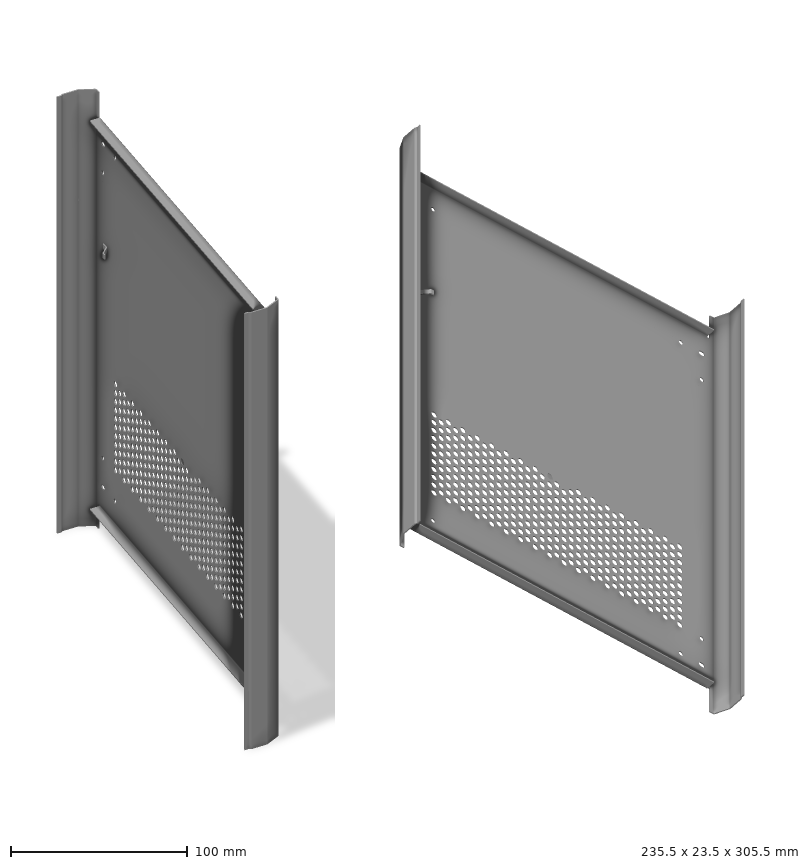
import cadquery as cq
import math

width = 235.5
depth = 23.5
height = 305.5
sheet = 0.75
inner_bend = 0.5
outer_bend = inner_bend + sheet
back_y = depth / 2
front_y = back_y - sheet
through = 4 * sheet

panel_half_width = 113.3
slope_angle = math.radians(25)
slope_depth = (width / 2 - panel_half_width) / math.tan(slope_angle)
lip_step = 0.75
lip_start_y = -8.0
lip_end_y = -9.5

rim_height = 272.5
rim_width = 216.0
rim_depth = 7.0
stub_half_width = 110.0
relief_bottom_z = rim_height / 2 - outer_bend

vent_columns = 35
vent_rows = 11
vent_width = 176.8
vent_height = 60.2
vent_top_z = -38.0
vent_diameter = 4.0
vent_column_pitch = vent_width / (vent_columns - 1)
vent_row_pitch = vent_height / (vent_rows - 1)
blank_column = 18
blind_column = 16

hole_diameter = 3.0
slot_length = 4.3
outer_hole_x = 104.0
inner_hole_x = 89.2
upper_hole_z = 120.0
lower_hole_z = 100.0

hook_left_x = -102.5
hook_length = 10.0
hook_foot = 4.0
hook_rise = 4.3
hook_bottom_z = 48.5
hook_height = 3.0
hook_inner_bend = 0.3


def offset_path(path, distance):
    """Shift an open path to its left by a distance, with mitred corners."""
    directions = [math.atan2(b[1] - a[1], b[0] - a[0]) for a, b in zip(path, path[1:])]
    shifted = []
    for index, (x, y) in enumerate(path):
        before = directions[max(index - 1, 0)]
        after = directions[min(index, len(directions) - 1)]
        normal = (before + after) / 2 + math.pi / 2
        reach = distance / math.cos((after - before) / 2)
        shifted.append((x + reach * math.cos(normal), y + reach * math.sin(normal)))
    return shifted


def strip(path, inner, length):
    """Sheet between two XY paths, extruded along +Z."""
    return cq.Workplane("XY").polyline(path + inner[::-1]).close().extrude(length)


def round_bend(body, corner, inner_corner, bend):
    """Round the outer and inner edges along Z of one bend."""
    for (x, y), radius in ((corner, bend + sheet), (inner_corner, bend)):
        nearest = cq.selectors.NearestToPointSelector((x, y, body.val().Center().z))
        body = body.edges("|Z").edges(nearest).fillet(radius)
    return body


def side_profile():
    """Outer path of the left flange, from the tip of the lip back to the panel."""
    outer_x = -width / 2
    lip_x = outer_x + lip_step
    return [
        (lip_x, -depth / 2),
        (lip_x, lip_end_y),
        (outer_x, lip_start_y),
        (outer_x, back_y - slope_depth),
        (-panel_half_width, back_y),
    ]


def bent_sheet():
    """Panel and both side flanges at full height."""
    left = side_profile()
    right = [(-x, y) for x, y in reversed(left)]
    path = left + right
    inner = offset_path(path, -sheet)
    body = strip(path, inner, height).translate((0, 0, -height / 2))
    bends_per_side = 2
    for index in range(len(left) - bends_per_side, len(left) + bends_per_side):
        body = round_bend(body, path[index], inner[index], inner_bend)
    return body


def end_cutout():
    """Block that trims the top of the panel between the side strips."""
    cut_height = height / 2 - relief_bottom_z
    return cq.Workplane("XY").box(
        2 * stub_half_width, through, cut_height, centered=(True, True, False)
    ).translate((0, back_y, relief_bottom_z))


def top_rim():
    """Bend and rim along the top of the panel, as an L section run along X."""
    top_z = rim_height / 2
    section = (
        cq.Workplane("YZ")
        .moveTo(back_y, relief_bottom_z)
        .radiusArc((back_y - outer_bend, top_z), -outer_bend)
        .lineTo(back_y - rim_depth, top_z)
        .lineTo(back_y - rim_depth, top_z - sheet)
        .lineTo(back_y - outer_bend, top_z - sheet)
        .radiusArc((front_y, relief_bottom_z), inner_bend)
        .close()
    )
    return section.extrude(rim_width).translate((-rim_width / 2, 0, 0))


def front_sketch_plane():
    """XZ plane on the front of the panel, facing -Y."""
    return cq.Workplane("XZ", origin=(0, front_y, 0))


def vent_points():
    """Centres of the through vent holes, and those of the blind ones."""
    open_points = []
    blind_points = []
    for column in range(vent_columns):
        x = column * vent_column_pitch - vent_width / 2
        short = column % 2
        for row in range(vent_rows - short):
            z = vent_top_z - (row + short / 2) * vent_row_pitch
            if row == 0 and column == blind_column:
                blind_points.append((x, z))
            elif row > 0 or column != blank_column:
                open_points.append((x, z))
    return open_points, blind_points


def vent_cutters():
    """Cylinders for the open vent holes, and half as deep as the sheet for the blind one."""
    open_points, blind_points = vent_points()
    plane = front_sketch_plane()
    open_holes = plane.pushPoints(open_points).circle(vent_diameter / 2).extrude(-through)
    blind_holes = plane.pushPoints(blind_points).circle(vent_diameter / 2).extrude(-sheet / 2)
    return open_holes.add(blind_holes).combine(glue=True)


def mounting_cutters():
    """Round holes and slots, mirrored into the four corners."""
    signs = [(sx, sz) for sx in (-1, 1) for sz in (-1, 1)]
    round_points = [(sx * inner_hole_x, sz * upper_hole_z) for sx, sz in signs]
    round_points += [(sx * outer_hole_x, sz * lower_hole_z) for sx, sz in signs]
    slot_points = [(sx * outer_hole_x, sz * upper_hole_z) for sx, sz in signs]
    plane = front_sketch_plane()
    holes = plane.pushPoints(round_points).circle(hole_diameter / 2).extrude(-through)
    slots = plane.pushPoints(slot_points).slot2D(slot_length, hole_diameter).extrude(-through)
    return holes.union(slots)


def make_panel():
    """Perforated panel with its side flanges and rims, as one bent sheet."""
    cutout = end_cutout()
    rim = top_rim()
    panel = bent_sheet().cut(cutout).cut(cutout.mirror("XY"))
    panel = panel.union(rim).union(rim.mirror("XY"))
    return panel.cut(vent_cutters()).cut(mounting_cutters())


def make_hook():
    """Foot on the panel, 45 degree ramp and raised free end."""
    right_x = hook_left_x + hook_length
    ramp_start_x = hook_left_x + hook_foot
    path = [
        (right_x, front_y - hook_rise),
        (ramp_start_x + hook_rise, front_y - hook_rise),
        (ramp_start_x, front_y),
        (hook_left_x, front_y),
    ]
    inner = offset_path(path, sheet)
    hook = strip(path, inner, hook_height).translate((0, 0, hook_bottom_z))
    hook = round_bend(hook, inner[1], path[1], hook_inner_bend)
    return round_bend(hook, path[2], inner[2], hook_inner_bend)


panel = make_panel()
hook = make_hook()
result = cq.Compound.makeCompound([panel.val(), hook.val()])